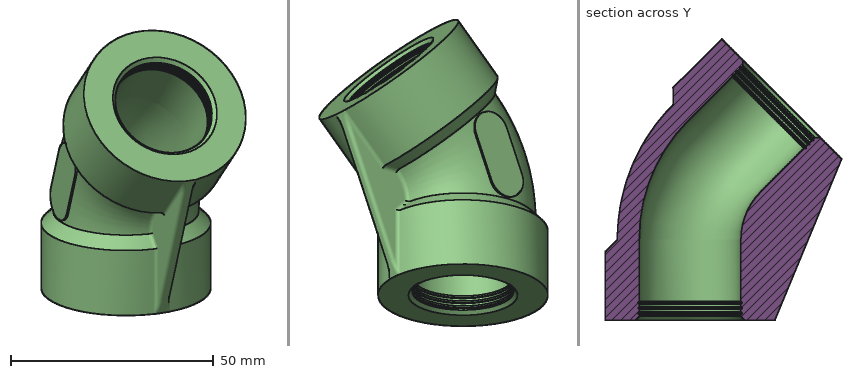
import cadquery as cq
import math

total_height = 69.5
bend_angle = 45.0
collar_radius = 21.0
collar_length = 17.0
shoulder_width = 3.0
bore_radius = 12.5
mouth_chamfer = 1.0
web_thickness = 3.0
web_fillet = 1.0
web_margin = 6.95
pad_radius = 5.0
pad_spacing = 12.2
pad_height = 0.3
pad_thickness = 0.5

ring_count = 3
first_ring = 1.4
ring_pitch = 1.3
ring_width = 0.7
ring_depth = 0.35

tolerance = 0.001

angle = math.radians(bend_angle)
tube_radius = collar_radius - shoulder_width
straight_length = collar_length + shoulder_width
leg_length = (total_height - collar_radius * math.sin(angle)) / (1 + math.cos(angle))
bend_radius = (leg_length - straight_length) / math.tan(angle / 2)


def both_ends(leg):
    """Join a leg standing on the XY plane with its copy at the tilted end."""
    corner = (0, 0, leg_length)
    axis_end = (0, 1, leg_length)
    return leg.union(leg.rotate(corner, axis_end, bend_angle - 180))


def bend(radius):
    """Round bar following the curved part of the centreline."""
    return (
        cq.Workplane("XY", origin=(0, 0, straight_length))
        .circle(radius)
        .revolve(bend_angle, (bend_radius, 0, 0), (bend_radius, 1, 0))
    )


def collar():
    """Thick end collar with a 45 degree shoulder down to the tube."""
    return (
        cq.Workplane("XZ")
        .lineTo(collar_radius, 0)
        .lineTo(collar_radius, collar_length)
        .lineTo(tube_radius, straight_length)
        .lineTo(0, straight_length)
        .close()
        .revolve(360, (0, 0, 0), (0, 1, 0))
    )


def socket():
    """Straight bore of one end with its mouth chamfer and V-shaped thread rings."""
    profile = (
        cq.Workplane("XZ")
        .lineTo(bore_radius + mouth_chamfer, 0)
        .lineTo(bore_radius, mouth_chamfer)
    )
    for ring in range(ring_count):
        start = first_ring + ring * ring_pitch
        profile = (
            profile.lineTo(bore_radius, start)
            .lineTo(bore_radius + ring_depth, start + ring_width / 2)
            .lineTo(bore_radius, start + ring_width)
        )
    return (
        profile.lineTo(bore_radius, straight_length)
        .lineTo(0, straight_length)
        .close()
        .revolve(360, (0, 0, 0), (0, 1, 0))
    )


def tilted(x, z):
    """Carry a point of the standing leg's XZ section over to the tilted leg."""
    along_axis = leg_length - z
    return (
        along_axis * math.sin(angle) + x * math.cos(angle),
        leg_length + along_axis * math.cos(angle) - x * math.sin(angle),
    )


def beyond_rims(edge):
    """Distance of an edge's middle outside the line joining the two collar rims."""
    middle = edge.Center()
    across = (middle.x - collar_radius) * math.cos(angle / 2)
    return across - middle.z * math.sin(angle / 2)


def on_web_side(edge):
    """True for an edge lying in one of the two flat sides of the web."""
    in_plane = edge.BoundingBox().ylen < tolerance
    return in_plane and abs(abs(edge.Center().y) - web_thickness / 2) < tolerance


def add_web(body):
    """Add the flat rib across the inner corner, blended into the body and rounded outside."""
    oversize = collar_radius + web_margin
    plate = (
        cq.Workplane("XZ")
        .moveTo(0, leg_length)
        .lineTo(0, 0)
        .lineTo(oversize, 0)
        .lineTo(*tilted(oversize, 0))
        .lineTo(*tilted(0, 0))
        .close()
        .extrude(web_thickness / 2, both=True)
    )
    blended = (
        body.union(plate)
        .edges()
        .filter(lambda edge: on_web_side(edge) and beyond_rims(edge) < -tolerance)
        .fillet(web_fillet)
    )

    trim = (
        cq.Workplane("XZ")
        .moveTo(collar_radius, 0)
        .lineTo(2 * oversize, 0)
        .lineTo(*tilted(2 * oversize, 0))
        .lineTo(*tilted(collar_radius, 0))
        .close()
        .extrude(collar_radius, both=True)
    )
    return (
        blended.cut(trim)
        .edges()
        .filter(lambda edge: on_web_side(edge) and abs(beyond_rims(edge)) < tolerance)
        .fillet(web_fillet)
    )


def pads():
    """Flat oblong label pads on both sides, centred halfway round the bend."""
    half = angle / 2
    outer_y = tube_radius + pad_height
    centre = (
        bend_radius * (1 - math.cos(half)),
        -outer_y,
        straight_length + bend_radius * math.sin(half),
    )
    along = (math.sin(half), 0, math.cos(half))
    plane = cq.Plane(origin=centre, xDir=along, normal=(0, 1, 0))
    pad = (
        cq.Workplane(plane)
        .slot2D(pad_spacing + 2 * pad_radius, 2 * pad_radius)
        .extrude(pad_thickness)
    )
    return pad.union(pad.mirror("XZ"))


outside = add_web(both_ends(collar()).union(bend(tube_radius)))
passage = both_ends(socket()).union(bend(bore_radius))
result = outside.union(pads()).cut(passage)